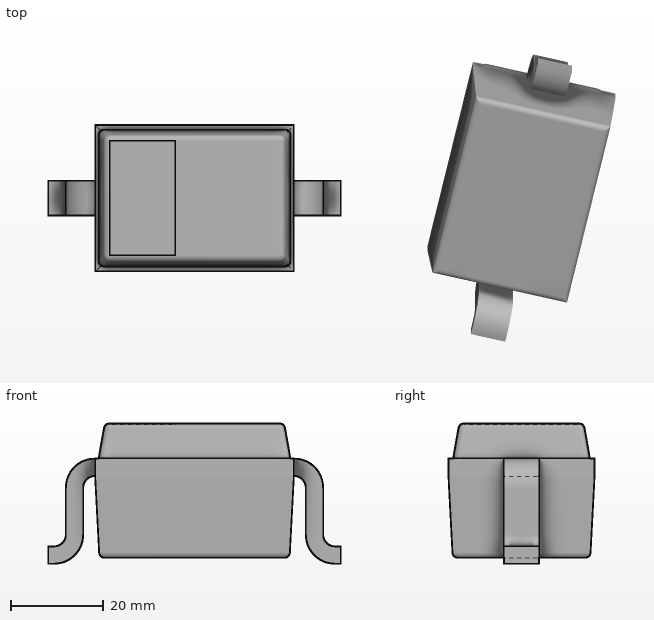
import cadquery as cq
import math

span = 63.5
total_height = 30.5

belt_length = 43.2
belt_width = 31.75
belt_top = 22.85
standoff = 1.3
base_draft = 3.0
base_edge_radius = 1.3
cap_inset_x = 0.75
cap_inset_y = 1.0
cap_draft = 10.0
cap_edge_radius = 1.3

lead_thickness = 3.8
lead_width = 7.6
bend_inner_radius = 2.55

band_edge_x = -4.2
band_depth = 0.2

belt_bottom = belt_top - lead_thickness
cap_height = total_height - belt_top
cap_length = belt_length - 2 * cap_inset_x
cap_width = belt_width - 2 * cap_inset_y
bend_outer_radius = bend_inner_radius + lead_thickness
rim_run = cap_edge_radius * math.tan(math.radians((90 - cap_draft) / 2))
top_flat_inset = cap_height * math.tan(math.radians(cap_draft)) + rim_run


def make_base():
    """Lower part of the housing, narrowing downward to a rounded bottom edge."""
    block = (
        cq.Workplane("XY", origin=(0, 0, belt_bottom))
        .rect(belt_length, belt_width)
        .extrude(-(belt_bottom - standoff), taper=base_draft)
    )
    return block.faces("<Z").edges().fillet(base_edge_radius)


def make_cap():
    """Upper part of the housing, narrowing upward, with rounded corners and rim."""
    block = (
        cq.Workplane("XY", origin=(0, 0, belt_top))
        .rect(cap_length, cap_width)
        .extrude(cap_height, taper=cap_draft)
    )
    return block.edges("not #Z").fillet(cap_edge_radius).faces(">Z").edges().fillet(cap_edge_radius)


def make_band():
    """Polarity band covering the -X part of the flat top."""
    left = top_flat_inset - cap_length / 2
    flat_width = cap_width - 2 * top_flat_inset
    return (
        cq.Workplane("XY", origin=(left, 0, total_height))
        .box(band_edge_x - left, flat_width, band_depth, centered=(False, True, False))
        .translate((0, 0, -band_depth))
    )


def make_housing(band):
    """Belt, base and cap as one solid, with a recess for the polarity band."""
    belt = (
        cq.Workplane("XY", origin=(0, 0, belt_bottom))
        .box(belt_length, belt_width, lead_thickness, centered=(True, True, False))
    )
    return belt.union(make_base()).union(make_cap()).cut(band)


def make_lead(side):
    """One S-bent lead; side is +1 for the +X end and -1 for the -X end."""
    root = belt_length / 2
    inner_x = root + bend_inner_radius
    outer_x = root + bend_outer_radius
    toe = outer_x + bend_inner_radius
    tip = span / 2
    diagonal = math.sqrt(0.5)
    upper_center_z = belt_top - bend_outer_radius
    lower_center_z = bend_outer_radius

    def upper_mid(radius):
        return (side * (root + radius * diagonal), upper_center_z + radius * diagonal)

    def lower_mid(radius):
        return (side * (toe - radius * diagonal), lower_center_z - radius * diagonal)

    return (
        cq.Workplane("XZ")
        .moveTo(side * root, belt_top)
        .threePointArc(upper_mid(bend_outer_radius), (side * outer_x, upper_center_z))
        .lineTo(side * outer_x, lower_center_z)
        .threePointArc(lower_mid(bend_inner_radius), (side * toe, lead_thickness))
        .lineTo(side * tip, lead_thickness)
        .lineTo(side * tip, 0)
        .lineTo(side * toe, 0)
        .threePointArc(lower_mid(bend_outer_radius), (side * inner_x, lower_center_z))
        .lineTo(side * inner_x, upper_center_z)
        .threePointArc(upper_mid(bend_inner_radius), (side * root, belt_bottom))
        .close()
        .extrude(lead_width / 2, both=True)
    )


band = make_band()
housing = make_housing(band)
leads = [make_lead(side) for side in (-1, 1)]

result = cq.Compound.makeCompound([housing.val(), band.val(), *[lead.val() for lead in leads]])